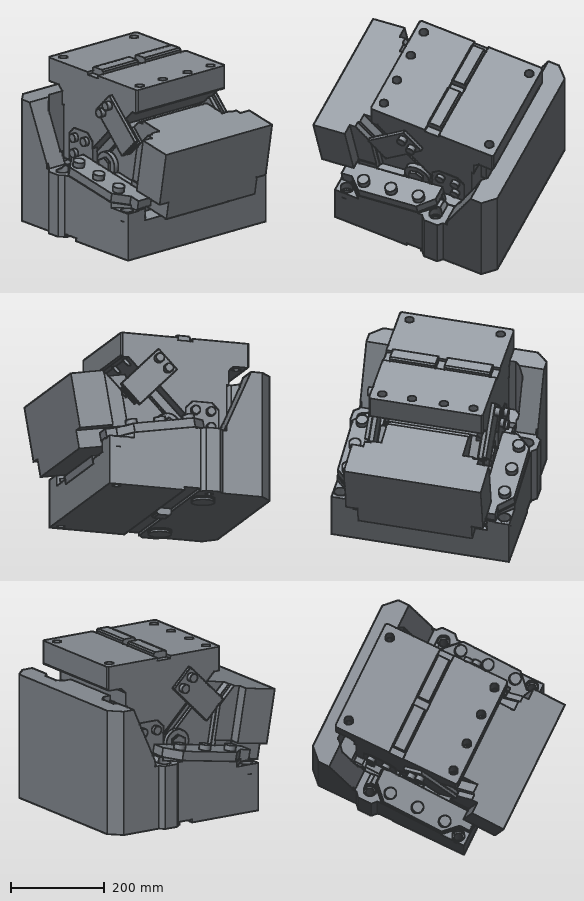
import cadquery as cq
import math

SIDES = (-1, 1)

TRACK_ANGLE = 10
TRACK_X = 110.5
TRACK_Z = 132.8
TRACK_COS = math.cos(math.radians(TRACK_ANGLE))
TRACK_SIN = math.sin(math.radians(TRACK_ANGLE))
TRACK_TANGENT = math.tan(math.radians(TRACK_ANGLE))
KEEL_BOTTOM = -17.5
FLOOR = -6.5
SEAT = 20.0
RETAINER_TOP = 40.0

BASE_LENGTH = 370.5
BASE_HALF_WIDTH = 194.7
WALL_TOP = 274.0
WALL_TOP_X = 51.0
WALL_FOOT_X = 106.0
WALL_FOOT_Z = 150.5
CORNER_CHAMFER = 25.5
CORNER_RELIEF = 3.5
LEDGE_Z = 139.5
SEAT_RAMP_X = 126.5
SEAT_CORNER_X = 146.0
SEAT_CORNER_Y = 165.0
REAR_LEDGE_Z = 105.5
REAR_LEDGE_X = 346.0
REAR_LEDGE_Y = 164.0
CHANNEL_HALF_WIDTH = 146.5
SKIRT_WIDTH = 10.0
SKIRT_HEIGHT = 14.5
PIT_START = -33.5
PIT_END = -1.8
PIT_HALF_WIDTH = 140.7
PIT_DEPTH = 9.0
PIT_DRAFT = 35
POCKET_HALF_WIDTH = 150.0
POCKET_X = 40.5
POCKET_END_X = 97.5
POCKET_CHAMFER = 19.5
GUIDE_X = 70.0
GUIDE_HALF_WIDTH = 75.2
GUIDE_FLARE = 13.3
GUIDE_BOTTOM = 110.5
POST_OUTER_Y = 205.0
POST_HALF_LENGTH = 25.0
POST_CHAMFER = 9.5
HOLE_Y = 179.5
FRONT_HOLE_X = 140.5
REAR_HOLE_X = 349.5
HOLE_RADIUS = 9.0
COUNTERBORE_RADIUS = 13.3
COUNTERBORE_DEPTH = 22.0
PAD_Y = 139.5
PAD_RADIUS = 25.2
PAD_HEIGHT = 8.5
PAD_COLLAR = 3.5
PAD_STEP = 0.5
BASE_KEY_X = 185.0
KEY_WIDTH = 32.8
KEY_CHAMFER = 3.5
BASE_KEY_LENGTH = 31.5
BASE_SLOT_DEPTH = 6.5

RETAINER_START = 31.5
RETAINER_END = 256.0
RETAINER_INNER_Y = 127.5
RETAINER_OUTER_Y = 193.5
RETAINER_CHAMFER = 32.0
RETAINER_NOTCH = 231.0
RETAINER_BOLT_START = 67.0
RETAINER_BOLT_PITCH = 65.5
RETAINER_BOLT_Y = 171.5
RETAINER_BOLT_RADIUS = 12.5
RETAINER_BOLT_HEIGHT = 12.0

OVERALL_LENGTH = 442.5
SLIDER_TOP = 170.5
SLIDER_HALF_WIDTH = 127.0
HEAD_HALF_WIDTH = 150.0
HEAD_START = 231.5
HEAD_BOTTOM = 50.5
HEAD_LOWER_BOTTOM = 10.5
HEAD_END = (OVERALL_LENGTH - TRACK_X - SLIDER_TOP * TRACK_SIN) / TRACK_COS
KEEL_START = 32.5
KEEL_END = 267.0
KEEL_HALF_WIDTH = 88.5
FLANGE_INNER_Y = 126.0
FLANGE_OUTER_Y = 135.0
FLANGE_BRIDGE_START = 71.0
SHOULDER_START = 125.5
SHOULDER_TOP = 36.5
NECK_START = 189.0
NECK_HALF_WIDTH = 125.0
NECK_CORE_START = 183.0
NECK_CORE_HALF_WIDTH = 114.0
NECK_CORE_CHAMFER = 5.0
SLAB_HALF_WIDTH = 109.5
SLAB_RIDGE_HALF_WIDTH = 100.0
SLAB_TIP_X = 283.2
SLAB_LIP_X = 295.0
SLAB_TOP_START = 161.5
NOTCH_INNER_Y = 89.5
CAP_X = 213.0
CAP_Z = 158.5
CAP_RADIUS = 28.5
CAP_OUTER_Y = 120.5
HEX_DIAMETER = 35.0
HEX_OUTER_Y = 126.5

DRIVER_PLANE = -12.0
DRIVER_UPPER_PLANE = 1.8
CAM_PLANE = 17.5
SLAB_STEP_PLANE = 31.0
NOTCH_PLANE = 88.0
NECK_PLANE = 92.5

DRIVER_HALF_WIDTH = 125.0
DRIVER_TOP = 355.0
DRIVER_LEFT_X = 30.5
DRIVER_RIGHT_X = 319.5
DRIVER_HEAD_BOTTOM = 302.0
DRIVER_BOTTOM = 141.5
DRIVER_EDGE_CHAMFER = 3.5
NECK_X = 76.5
NECK_STEP_X = 81.5
NECK_STEP_Z = 260.2
NECK_CHAMFER = 11.0
PLANE_STEP_SUM = 522.2
WEAR_BOTTOM = 177.0
CAM_WEAR_HALF_WIDTH = 97.5
CAM_WEAR_SUM = 495.5
DRIVER_HOLE_LEFT_X = 51.5
DRIVER_HOLE_RIGHT_X = 299.5
DRIVER_HOLE_RADIUS = 9.5
DRIVER_HOLE_OUTER_Y = 100.0
DRIVER_HOLE_INNER_Y = 35.0
DRIVER_KEY_X = 175.3
DRIVER_KEY_RISE = 9.0
DRIVER_SLOT_DEPTH = 6.0
DRIVER_KEY_LENGTH = 99.5
DRIVER_KEY_Y = 59.7

BOLT_RADIUS = 9.5
HOOK_X = 259.0
HOOK_Z = 261.0
HOOK_LENGTH = 117.7
HOOK_WIDTH = 59.5
HOOK_OUTER_Y = 132.8
HOOK_TOOTH_HALF_WIDTH = 22.0
HOOK_TOOTH_REACH = 3.0
HOOK_TOOTH_INNER_Y = 115.0
HOOK_BOLT_OFFSET = 43.5
HOOK_BOLT_SPREAD = 14.5
HOOK_BOLT_OUTER_Y = 144.5
PLATE_LEFT_X = 99.0
PLATE_RIGHT_X = 174.0
PLATE_TOP = 217.5
PLATE_INNER_Y = 110.5
PLATE_OUTER_Y = 124.0
PLATE_CHAMFER = 15.5
PLATE_BOLTS = ((118.5, 197.0), (153.5, 197.0), (118.5, 162.0))
PLATE_BOLT_OUTER_Y = 133.0

CAM_EDGES = "|(1,0,1)"
ABOVE_ALL = 442.5


def track_to_xz(along, height):
    """X and Z of a point given along the track and square to it."""
    x = TRACK_X + along * TRACK_COS + height * TRACK_SIN
    z = TRACK_Z - along * TRACK_SIN + height * TRACK_COS
    return x, z


def track_z(x, height):
    """Z at a given X of the track-parallel plane at a given height."""
    return TRACK_Z + (height - (x - TRACK_X) * TRACK_SIN) / TRACK_COS


def side_prism(points, inner_y, outer_y):
    """Prism with an XZ outline, between two Y positions."""
    return cq.Workplane("XZ", origin=(0, inner_y, 0)).polyline(points).close().extrude(inner_y - outer_y)


def centred_prism(points, half_width):
    return side_prism(points, -half_width, half_width)


def track_block(start, end, bottom, top, inner_y, outer_y):
    """Block that is parallel to the track."""
    corners = ((start, bottom), (end, bottom), (end, top), (start, top))
    return side_prism([track_to_xz(*corner) for corner in corners], inner_y, outer_y)


def track_beam(start, end, bottom, top, half_width):
    return track_block(start, end, bottom, top, -half_width, half_width)


def plan_prism(points, bottom, top):
    return cq.Workplane("XY").workplane(offset=bottom).polyline(points).close().extrude(top - bottom)


def side_cylinder(x, z, radius, inner_y, outer_y):
    """Cylinder along Y, between two Y positions."""
    return cq.Workplane("XZ", origin=(x, inner_y, z)).circle(radius).extrude(inner_y - outer_y)


def vertical_cylinder(x, y, radius, bottom, top):
    return cq.Workplane("XY", origin=(x, y, bottom)).circle(radius).extrude(top - bottom)


def block(x_range, y_range, z_range):
    size = [high - low for low, high in (x_range, y_range, z_range)]
    corner = (x_range[0], y_range[0], z_range[0])
    return cq.Workplane("XY").box(*size, centered=False).translate(corner)


def base_blank():
    ramp_rise = LEDGE_Z - SEAT_RAMP_X
    seat_x = (track_z(0, SEAT) - ramp_rise) / (1 + TRACK_TANGENT)
    outline = [
        (0, 0),
        (BASE_LENGTH, 0),
        (BASE_LENGTH, track_z(BASE_LENGTH, SEAT)),
        (seat_x, track_z(seat_x, SEAT)),
        (SEAT_RAMP_X, LEDGE_Z),
        (WALL_FOOT_X, LEDGE_Z),
        (WALL_FOOT_X, WALL_FOOT_Z),
        (WALL_TOP_X, WALL_TOP),
        (0, WALL_TOP),
    ]
    blank = centred_prism(outline, BASE_HALF_WIDTH)
    return blank.edges("|Z and <X").chamfer(CORNER_CHAMFER)


def wall_foot(side):
    """Foot of the sloped wall, which carries the slope down to the ledge away from the outer edge."""
    slope = (WALL_FOOT_X - WALL_TOP_X) / (WALL_TOP - WALL_FOOT_Z)
    foot_x = WALL_FOOT_X + slope * (WALL_FOOT_Z - LEDGE_Z)
    triangle = [(WALL_FOOT_X, WALL_FOOT_Z), (foot_x, LEDGE_Z), (WALL_FOOT_X, LEDGE_Z)]
    return side_prism(triangle, side * CHANNEL_HALF_WIDTH, side * (BASE_HALF_WIDTH - CORNER_RELIEF))


def front_post(side):
    edge = side * BASE_HALF_WIDTH
    outer = side * POST_OUTER_Y
    short = POST_HALF_LENGTH - POST_CHAMFER
    outline = [
        (FRONT_HOLE_X - POST_HALF_LENGTH, edge),
        (FRONT_HOLE_X - short, outer),
        (FRONT_HOLE_X + short, outer),
        (FRONT_HOLE_X + POST_HALF_LENGTH, edge),
        (FRONT_HOLE_X, side * SEAT_CORNER_Y),
    ]
    return plan_prism(outline, 0, LEDGE_Z)


def front_ledge_cut(side):
    """Room above the ledge, outside the sloping corner of the retainer."""
    reach = POST_OUTER_Y - SEAT_CORNER_Y
    outline = [
        (SEAT_RAMP_X, side * HOLE_Y),
        (SEAT_CORNER_X, side * SEAT_CORNER_Y),
        (SEAT_CORNER_X + reach, side * POST_OUTER_Y),
        (SEAT_RAMP_X, side * POST_OUTER_Y),
    ]
    return plan_prism(outline, LEDGE_Z, WALL_TOP)


def rear_ledge_cut(side):
    reach = POST_OUTER_Y - REAR_LEDGE_Y
    outline = [
        (REAR_LEDGE_X - reach, side * POST_OUTER_Y),
        (REAR_LEDGE_X, side * REAR_LEDGE_Y),
        (BASE_LENGTH, side * REAR_LEDGE_Y),
        (BASE_LENGTH, side * POST_OUTER_Y),
    ]
    return plan_prism(outline, REAR_LEDGE_Z, WALL_TOP)


def channel():
    """Slider channel with its wider pocket in the wall, around the wall guide."""
    pocket_step = POCKET_HALF_WIDTH - CHANNEL_HALF_WIDTH
    half = [
        (POCKET_X, POCKET_HALF_WIDTH - POCKET_CHAMFER),
        (POCKET_X + POCKET_CHAMFER, POCKET_HALF_WIDTH),
        (POCKET_END_X, POCKET_HALF_WIDTH),
        (POCKET_END_X + pocket_step, CHANNEL_HALF_WIDTH),
        (BASE_LENGTH, CHANNEL_HALF_WIDTH),
    ]
    mirrored = [(x, -y) for x, y in reversed(half)]
    opening = plan_prism(half + mirrored, 0, WALL_TOP)
    above_floor = centred_prism(
        [
            (0, track_z(0, FLOOR)),
            (BASE_LENGTH, track_z(BASE_LENGTH, FLOOR)),
            (BASE_LENGTH, ABOVE_ALL),
            (0, ABOVE_ALL),
        ],
        POCKET_HALF_WIDTH,
    )
    return opening.intersect(above_floor)


def channel_skirt(side):
    """Sloping foot of the channel side wall."""
    triangle = [
        (side * CHANNEL_HALF_WIDTH, 0),
        (side * (CHANNEL_HALF_WIDTH - SKIRT_WIDTH), 0),
        (side * CHANNEL_HALF_WIDTH, SKIRT_HEIGHT),
    ]
    x, z = track_to_xz(0, FLOOR)
    section = cq.Plane(origin=(x, 0, z), xDir=(0, 1, 0), normal=(TRACK_COS, 0, -TRACK_SIN))
    return cq.Workplane(section).polyline(triangle).close().extrude(RETAINER_END)


def floor_pit():
    """Shallow recess with sloping sides in the channel floor, below the wall guide."""
    return (
        cq.Workplane(track_plane(FLOOR))
        .center((PIT_START + PIT_END) / 2, 0)
        .rect(PIT_END - PIT_START, 2 * PIT_HALF_WIDTH)
        .extrude(-PIT_DEPTH, taper=PIT_DRAFT)
    )


def keel_groove():
    return track_beam(KEEL_START, ABOVE_ALL, KEEL_BOTTOM, FLOOR, KEEL_HALF_WIDTH)


def wall_guide():
    """Guide that stands out from the pocket wall toward the driver, with flared sides."""
    half = [
        (POCKET_X, GUIDE_HALF_WIDTH + GUIDE_FLARE),
        (POCKET_X + GUIDE_FLARE, GUIDE_HALF_WIDTH),
        (GUIDE_X, GUIDE_HALF_WIDTH),
    ]
    mirrored = [(x, -y) for x, y in reversed(half)]
    return plan_prism(half + mirrored, GUIDE_BOTTOM, WALL_TOP)


def mounting_hole(x, side, ledge_z):
    y = side * HOLE_Y
    bore = vertical_cylinder(x, y, HOLE_RADIUS, 0, ledge_z)
    return bore.union(vertical_cylinder(x, y, COUNTERBORE_RADIUS, ledge_z - COUNTERBORE_DEPTH, WALL_TOP))


def locating_pad(side):
    y = side * PAD_Y
    pad = vertical_cylinder(FRONT_HOLE_X, y, PAD_RADIUS, -PAD_COLLAR, 0)
    return pad.union(vertical_cylinder(FRONT_HOLE_X, y, PAD_RADIUS - PAD_STEP, -PAD_HEIGHT, -PAD_COLLAR))


def base_key():
    x_range = (BASE_KEY_X - KEY_WIDTH / 2, BASE_KEY_X + KEY_WIDTH / 2)
    y_range = (-BASE_KEY_LENGTH / 2, BASE_KEY_LENGTH / 2)
    key = block(x_range, y_range, (-PAD_HEIGHT, BASE_SLOT_DEPTH))
    return key.faces("<Z").edges("|Y").chamfer(KEY_CHAMFER)


def base_slot():
    x_range = (BASE_KEY_X - KEY_WIDTH / 2, BASE_KEY_X + KEY_WIDTH / 2)
    return block(x_range, (-POST_OUTER_Y, POST_OUTER_Y), (0, BASE_SLOT_DEPTH))


def track_plane(height):
    """Plane parallel to the track, with its x axis along the track and its y axis along Y."""
    x, z = track_to_xz(0, height)
    return cq.Plane(origin=(x, 0, z), xDir=(TRACK_COS, 0, -TRACK_SIN), normal=(TRACK_SIN, 0, TRACK_COS))


def retainer(side):
    notch_depth = RETAINER_OUTER_Y - REAR_LEDGE_Y
    outline = [
        (RETAINER_START, RETAINER_INNER_Y),
        (RETAINER_START, RETAINER_OUTER_Y - RETAINER_CHAMFER),
        (RETAINER_START + RETAINER_CHAMFER, RETAINER_OUTER_Y),
        (RETAINER_NOTCH - notch_depth, RETAINER_OUTER_Y),
        (RETAINER_NOTCH, REAR_LEDGE_Y),
        (RETAINER_END, REAR_LEDGE_Y),
        (RETAINER_END, RETAINER_INNER_Y),
    ]
    points = [(along, side * y) for along, y in outline]
    plate = cq.Workplane(track_plane(SEAT)).polyline(points).close().extrude(RETAINER_TOP - SEAT)
    bolts = [(RETAINER_BOLT_START + i * RETAINER_BOLT_PITCH, side * RETAINER_BOLT_Y) for i in range(3)]
    heads = (
        cq.Workplane(track_plane(RETAINER_TOP))
        .pushPoints(bolts)
        .circle(RETAINER_BOLT_RADIUS)
        .extrude(RETAINER_BOLT_HEIGHT)
    )
    return plate.union(heads)


def make_base():
    base = base_blank()
    for side in SIDES:
        base = base.union(wall_foot(side))
        base = base.union(front_post(side))
        base = base.cut(front_ledge_cut(side))
        base = base.cut(rear_ledge_cut(side))
    base = base.cut(channel())
    base = base.cut(floor_pit()).cut(keel_groove())
    base = base.union(wall_guide())
    base = base.cut(base_slot()).union(base_key())
    for side in SIDES:
        base = base.union(channel_skirt(side))
        base = base.cut(mounting_hole(FRONT_HOLE_X, side, LEDGE_Z))
        base = base.cut(mounting_hole(REAR_HOLE_X, side, REAR_LEDGE_Z))
        base = base.union(locating_pad(side))
        base = base.union(retainer(side))
    return base


def cam_slab(plane, half_width):
    """Slab from the channel floor up to the slider top, under a 45 degree plane."""
    foot_x = (track_z(0, FLOOR) + plane) / (1 + TRACK_TANGENT)
    outline = [
        (foot_x, foot_x - plane),
        (SLAB_TIP_X, SLAB_TIP_X - plane),
        (SLAB_LIP_X, SLAB_TIP_X - plane),
        track_to_xz(SLAB_TOP_START, SLIDER_TOP),
        track_to_xz(HEAD_START, SLIDER_TOP),
        track_to_xz(HEAD_START, FLOOR),
    ]
    return centred_prism(outline, half_width)


def hook_notch(side):
    """Notch at the upper end of the slab, beside its middle part."""
    notch_sum = HOOK_X + HOOK_Z
    low_x = (notch_sum + DRIVER_PLANE) / 2
    corner_x = (notch_sum + NOTCH_PLANE) / 2
    outline = [
        (low_x, notch_sum - low_x),
        (corner_x, notch_sum - corner_x),
        (ABOVE_ALL, ABOVE_ALL - NOTCH_PLANE),
        (ABOVE_ALL + DRIVER_PLANE, ABOVE_ALL),
    ]
    return side_prism(outline, side * NOTCH_INNER_Y, side * SLIDER_HALF_WIDTH)


def neck_prism(start, plane, half_width):
    """Prism that begins with a wall square to the track, then follows a 45 degree plane to the top."""
    start_x, start_z = track_to_xz(start, 0)
    knee = (plane - start_x + start_z) / (TRACK_SIN - TRACK_COS)
    top = (start_x - start_z + SLIDER_TOP * (TRACK_SIN - TRACK_COS) - plane) / (TRACK_SIN + TRACK_COS)
    outline = [
        track_to_xz(start, FLOOR),
        track_to_xz(start, knee),
        track_to_xz(start - top, SLIDER_TOP),
        track_to_xz(HEAD_END, SLIDER_TOP),
        track_to_xz(HEAD_END, HEAD_LOWER_BOTTOM),
        track_to_xz(HEAD_START, HEAD_LOWER_BOTTOM),
        track_to_xz(HEAD_START, FLOOR),
    ]
    return centred_prism(outline, half_width)


def neck():
    """Part between slab and head, with a chamfered core that leads from the slab to its outer wall."""
    core = neck_prism(NECK_CORE_START, NOTCH_PLANE, NECK_CORE_HALF_WIDTH)
    wall_edges = core.edges(f"<({TRACK_COS},0,{-TRACK_SIN})")
    core = core.edges(CAM_EDGES).add(wall_edges).chamfer(NECK_CORE_CHAMFER)
    return core.union(neck_prism(NECK_START, NECK_PLANE, NECK_HALF_WIDTH))


def pin_cap(side):
    """Round cap with a hexagonal head on the side of the slab."""
    cap = side_cylinder(CAP_X, CAP_Z, CAP_RADIUS, side * SLAB_HALF_WIDTH, side * CAP_OUTER_Y)
    hexagon = (
        cq.Workplane("XZ", origin=(CAP_X, side * CAP_OUTER_Y, CAP_Z))
        .transformed(rotate=(0, 0, 90))
        .polygon(6, HEX_DIAMETER)
        .extrude(side * (CAP_OUTER_Y - HEX_OUTER_Y))
    )
    return cap.union(hexagon)


def make_slider():
    slider = cam_slab(CAM_PLANE, SLAB_RIDGE_HALF_WIDTH).union(cam_slab(SLAB_STEP_PLANE, SLAB_HALF_WIDTH))
    for side in SIDES:
        slider = slider.cut(hook_notch(side))
    slider = slider.union(neck())
    slider = slider.union(track_beam(FLANGE_BRIDGE_START, HEAD_START, FLOOR, SEAT, SLIDER_HALF_WIDTH))
    slider = slider.union(track_beam(SHOULDER_START, HEAD_START, SEAT, SHOULDER_TOP, SLIDER_HALF_WIDTH))
    slider = slider.union(track_beam(NECK_START, HEAD_START, SEAT, HEAD_BOTTOM, SLIDER_HALF_WIDTH))
    slider = slider.union(track_beam(HEAD_START, HEAD_END, HEAD_BOTTOM, SLIDER_TOP, HEAD_HALF_WIDTH))
    slider = slider.union(track_beam(KEEL_START, KEEL_END, KEEL_BOTTOM, 0, KEEL_HALF_WIDTH))
    for side in SIDES:
        inner = side * FLANGE_INNER_Y
        outer = side * FLANGE_OUTER_Y
        slider = slider.union(track_block(KEEL_START, HEAD_START, FLOOR, SEAT, inner, outer))
        slider = slider.union(pin_cap(side))
    return slider


def driver_blank():
    step_x = (PLANE_STEP_SUM + DRIVER_UPPER_PLANE) / 2
    inner_step_x = (PLANE_STEP_SUM + DRIVER_PLANE) / 2
    upper_x = DRIVER_HEAD_BOTTOM + DRIVER_UPPER_PLANE
    outline = [
        (DRIVER_LEFT_X, DRIVER_TOP),
        (DRIVER_RIGHT_X, DRIVER_TOP),
        (DRIVER_RIGHT_X, DRIVER_HEAD_BOTTOM),
        (upper_x, DRIVER_HEAD_BOTTOM),
        (step_x, PLANE_STEP_SUM - step_x),
        (inner_step_x, PLANE_STEP_SUM - inner_step_x),
        (DRIVER_BOTTOM + DRIVER_PLANE, DRIVER_BOTTOM),
        (NECK_STEP_X, DRIVER_BOTTOM),
        (NECK_STEP_X, NECK_STEP_Z),
        (NECK_X, NECK_STEP_Z),
        (NECK_X, DRIVER_HEAD_BOTTOM - NECK_CHAMFER),
        (NECK_X - NECK_CHAMFER, DRIVER_HEAD_BOTTOM),
        (DRIVER_LEFT_X, DRIVER_HEAD_BOTTOM),
    ]
    blank = centred_prism(outline, DRIVER_HALF_WIDTH)
    end_edges = blank.faces("<X").edges().add(blank.faces(">X").edges())
    return end_edges.edges("not >Z").chamfer(DRIVER_EDGE_CHAMFER)


def wall_wear_plate():
    return block((GUIDE_X, NECK_STEP_X), (-GUIDE_HALF_WIDTH, GUIDE_HALF_WIDTH), (WEAR_BOTTOM, NECK_STEP_Z))


def cam_wear_plate():
    """Plate between the driver plane and the cam plane of the slider."""
    outer_x = (CAM_WEAR_SUM + CAM_PLANE) / 2
    inner_x = (CAM_WEAR_SUM + DRIVER_PLANE) / 2
    outline = [
        (DRIVER_BOTTOM + DRIVER_PLANE, DRIVER_BOTTOM),
        (DRIVER_BOTTOM + CAM_PLANE, DRIVER_BOTTOM),
        (outer_x, CAM_WEAR_SUM - outer_x),
        (inner_x, CAM_WEAR_SUM - inner_x),
    ]
    return centred_prism(outline, CAM_WEAR_HALF_WIDTH)


def side_plate(side, outer_y):
    """Plate with chamfered upper corners, flush with the outside of the driver or a little inside."""
    outline = [
        (PLATE_LEFT_X, LEDGE_Z),
        (PLATE_RIGHT_X, LEDGE_Z),
        (PLATE_RIGHT_X, PLATE_TOP - PLATE_CHAMFER),
        (PLATE_RIGHT_X - PLATE_CHAMFER, PLATE_TOP),
        (PLATE_LEFT_X + PLATE_CHAMFER, PLATE_TOP),
        (PLATE_LEFT_X, PLATE_TOP - PLATE_CHAMFER),
    ]
    return side_prism(outline, side * PLATE_INNER_Y, side * outer_y)


def hook_point(along, across):
    """X and Z of a point in the hook, whose long side falls 45 degrees toward +X."""
    diagonal = math.sqrt(0.5)
    return HOOK_X + (along + across) * diagonal, HOOK_Z + (across - along) * diagonal


def hook(side):
    half_length = HOOK_LENGTH / 2
    half_width = HOOK_WIDTH / 2
    corners = [
        hook_point(-half_length, -half_width),
        hook_point(half_length, -half_width),
        hook_point(half_length, half_width),
        hook_point(-half_length, half_width),
    ]
    body = side_prism(corners, side * DRIVER_HALF_WIDTH, side * HOOK_OUTER_Y)
    tooth = [
        hook_point(0, -HOOK_TOOTH_HALF_WIDTH),
        hook_point(half_length + HOOK_TOOTH_REACH, -HOOK_TOOTH_HALF_WIDTH),
        hook_point(half_length + HOOK_TOOTH_REACH, HOOK_TOOTH_HALF_WIDTH),
        hook_point(0, HOOK_TOOTH_HALF_WIDTH),
    ]
    body = body.union(side_prism(tooth, side * HOOK_TOOTH_INNER_Y, side * DRIVER_HALF_WIDTH))
    for spread in (-HOOK_BOLT_SPREAD, HOOK_BOLT_SPREAD):
        x, z = hook_point(-HOOK_BOLT_OFFSET, spread)
        body = body.union(
            side_cylinder(x, z, BOLT_RADIUS, side * DRIVER_HALF_WIDTH, side * HOOK_BOLT_OUTER_Y)
        )
    return body


def driver_holes():
    outer = DRIVER_HOLE_OUTER_Y
    inner = DRIVER_HOLE_INNER_Y
    places = [(DRIVER_HOLE_LEFT_X, y) for y in (-outer, outer)]
    places += [(DRIVER_HOLE_RIGHT_X, y) for y in (-outer, -inner, inner, outer)]
    bottom = DRIVER_HEAD_BOTTOM - NECK_CHAMFER
    return (
        cq.Workplane("XY", origin=(0, 0, bottom))
        .pushPoints(places)
        .circle(DRIVER_HOLE_RADIUS)
        .extrude(DRIVER_TOP - bottom)
    )


def driver_slot():
    x_range = (DRIVER_KEY_X - KEY_WIDTH / 2, DRIVER_KEY_X + KEY_WIDTH / 2)
    y_range = (-DRIVER_HALF_WIDTH, DRIVER_HALF_WIDTH)
    return block(x_range, y_range, (DRIVER_TOP - DRIVER_SLOT_DEPTH, DRIVER_TOP))


def driver_key(side):
    x_range = (DRIVER_KEY_X - KEY_WIDTH / 2, DRIVER_KEY_X + KEY_WIDTH / 2)
    middle = side * DRIVER_KEY_Y
    y_range = (middle - DRIVER_KEY_LENGTH / 2, middle + DRIVER_KEY_LENGTH / 2)
    key = block(x_range, y_range, (DRIVER_TOP - DRIVER_SLOT_DEPTH, DRIVER_TOP + DRIVER_KEY_RISE))
    return key.faces(">Z").edges("|Y").chamfer(KEY_CHAMFER)


def make_driver():
    driver = driver_blank().union(wall_wear_plate()).union(cam_wear_plate())
    driver = driver.cut(driver_holes()).cut(driver_slot())
    for side in SIDES:
        driver = driver.union(driver_key(side)).union(hook(side))
        driver = driver.cut(side_plate(side, DRIVER_HALF_WIDTH)).union(side_plate(side, PLATE_OUTER_Y))
        for x, z in PLATE_BOLTS:
            driver = driver.union(
                side_cylinder(x, z, BOLT_RADIUS, side * PLATE_INNER_Y, side * PLATE_BOLT_OUTER_Y)
            )
    return driver


base = make_base()
slider = make_slider()
driver = make_driver()
result = cq.Compound.makeCompound([base.val(), slider.val(), driver.val()])